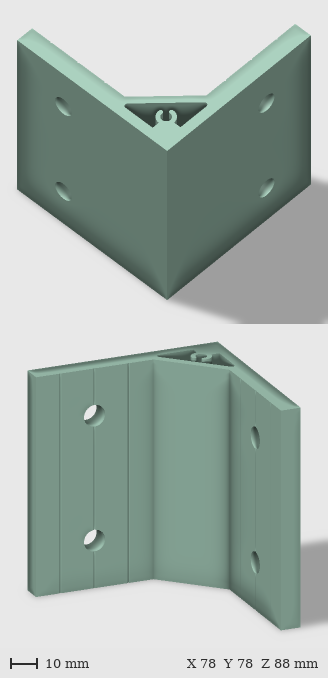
import cadquery as cq
import math

length = 88.0
leg = 78.0
leg_thickness = 8.1

brace_reach = 29.7
brace_thickness = 3.3

pocket_wall = 4.4
pocket_corner_radius = 1.1
corner_block = 11.8

ring_inner_radius = 2.2
ring_outer_radius = 4.05
ring_opening = 80.0

hole_diameter = 8.6
hole_from_tip = 24.0
hole_spacing = 50.0
groove_spacing = 14.0
groove_width = 0.9
groove_depth = 0.4


def prism(points):
    """Extrude a closed outline over the full length."""
    return cq.Workplane("XY").polyline(points).close().extrude(length)


def cylinder(x, y, radius):
    """Full-length round bar along Z."""
    return cq.Workplane("XY").center(x, y).circle(radius).extrude(length)


def mirror_legs(points):
    """Swap the two legs by reflecting points in the diagonal x = -y."""
    return [(-y, -x) for x, y in points]


def make_angle():
    """Solid L-section with its inside corner filled up to the brace."""
    return prism([
        (0, 0),
        (0, leg),
        (-leg_thickness, leg),
        (-leg_thickness, brace_reach),
        (-brace_reach, leg_thickness),
        (-leg, leg_thickness),
        (-leg, 0),
    ])


def make_pocket():
    """Triangular hollow with rounded acute ends, less the corner block."""
    pocket_reach = brace_reach + leg_thickness - brace_thickness * math.sqrt(2) - pocket_wall
    triangle = prism([
        (-pocket_wall, pocket_wall),
        (-pocket_wall, pocket_reach),
        (-pocket_reach, pocket_wall),
    ])
    triangle = triangle.faces("<(1,-1,0)").edges("|Z").fillet(pocket_corner_radius)
    block = cq.Workplane("XY").box(corner_block, corner_block, length, centered=False)
    return triangle.cut(block.translate((-corner_block, 0, 0)))


def make_ring():
    """Screw ring, open towards the brace, with rounded tips."""
    x, y = -corner_block, corner_block
    half_opening = math.radians(ring_opening / 2)
    middle_radius = (ring_inner_radius + ring_outer_radius) / 2
    tip_radius = (ring_outer_radius - ring_inner_radius) / 2
    diagonal = math.radians(135)
    wedge_radius = 2 * ring_outer_radius
    angles = [diagonal - half_opening, diagonal + half_opening]
    wedge = prism([(x, y)] + [
        (x + wedge_radius * math.cos(a), y + wedge_radius * math.sin(a)) for a in angles
    ])
    ring = cylinder(x, y, ring_outer_radius).cut(wedge)
    for a in angles:
        tip_x = x + middle_radius * math.cos(a)
        tip_y = y + middle_radius * math.sin(a)
        ring = ring.union(cylinder(tip_x, tip_y, tip_radius))
    return ring


def cut_grooves(body):
    """V-grooves on both inner faces, the middle one on the hole centreline."""
    for step in (-1, 0, 1):
        x = -leg + hole_from_tip + step * groove_spacing
        outline = [
            (x - groove_width / 2, leg_thickness),
            (x, leg_thickness - groove_depth),
            (x + groove_width / 2, leg_thickness),
        ]
        body = body.cut(prism(outline)).cut(prism(mirror_legs(outline)))
    return body


def cut_bolt_holes(body):
    """Two through holes in each leg, centred along the length."""
    from_corner = leg - hole_from_tip
    radius = hole_diameter / 2
    for side in (-1, 1):
        z = length / 2 + side * hole_spacing / 2
        for start, axis in (
            ((-from_corner, 0, z), (0, 1, 0)),
            ((0, from_corner, z), (-1, 0, 0)),
        ):
            body = body.cut(cq.Workplane(cq.Solid.makeCylinder(
                radius, leg_thickness, cq.Vector(*start), cq.Vector(*axis),
            )))
    return body


result = make_angle().cut(make_pocket()).union(make_ring())
result = result.cut(cylinder(-corner_block, corner_block, ring_inner_radius))
result = cut_bolt_holes(cut_grooves(result))